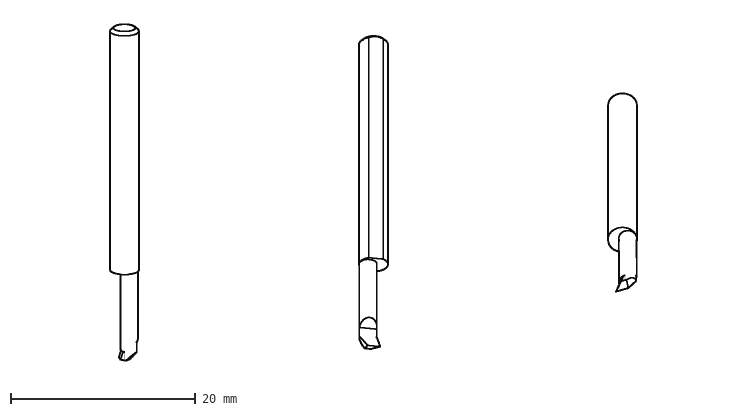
import cadquery as cq

total_length = 38.1
shank_radius = 1.58
shank_flat_y = 1.353
shank_bottom_z = 10.2
end_chamfer = 0.4

neck_radius = 0.97
neck_x = shank_radius - neck_radius

cut_face_y = 0.05
runout_start_z = 2.15
runout_end_z = 2.97

head_top_z = 1.15
edge_bottom_x = -0.75
edge_top_x = neck_x - neck_radius
side_relief = 0.8
bottom_relief = 0.15
nose_x = 0.65
nose_rise = 1.03

margin = 0.4


def make_shank():
    """Round bar with one chamfered end and a flat along its +Y side."""
    length = total_length - shank_bottom_z
    bar = cq.Workplane("XY").workplane(offset=shank_bottom_z).circle(shank_radius).extrude(length)
    bar = bar.faces(">Z").chamfer(end_chamfer)
    flat_cut = (
        cq.Workplane("XY")
        .box(2 * shank_radius, shank_radius, total_length, centered=(True, False, False))
        .translate((0, shank_flat_y, 0))
    )
    return bar.cut(flat_cut)


def make_neck():
    """Eccentric round neck reaching down to the tip."""
    return cq.Workplane("XY").center(neck_x, 0).circle(neck_radius).extrude(shank_bottom_z)


def make_head():
    """Hooked tip whose side face is relieved away from the cutting edge."""
    def section(shift):
        return [
            (edge_bottom_x + shift, 0),
            (neck_x + side_relief, 0),
            (neck_x + side_relief, head_top_z),
            (edge_top_x + shift, head_top_z),
        ]

    return (
        cq.Workplane("XZ", origin=(0, cut_face_y, 0))
        .polyline(section(0))
        .close()
        .workplane(offset=neck_radius + cut_face_y)
        .polyline(section(side_relief))
        .close()
        .loft(ruled=True)
    )


def make_head_space():
    """Lower -X half of the neck, cleared to make room for the head."""
    return (
        cq.Workplane("XY")
        .box(neck_radius + margin, 2 * (neck_radius + margin), head_top_z, centered=(False, True, False))
        .translate((neck_x - neck_radius - margin, 0, 0))
    )


def make_head_bounds():
    """Box on the -X side of the neck axis, used to trim the head."""
    width = neck_x - edge_bottom_x + margin
    return (
        cq.Workplane("XY")
        .box(width, 2 * (neck_radius + margin), head_top_z, centered=(False, True, False))
        .translate((neck_x - width, 0, 0))
    )


def make_half_cut():
    """Removes the +Y half of the neck up to the sloped run-out."""
    return (
        cq.Workplane("YZ")
        .polyline([
            (cut_face_y, -margin),
            (cut_face_y, runout_start_z),
            (neck_radius, runout_end_z),
            (neck_radius + margin, runout_end_z),
            (neck_radius + margin, -margin),
        ])
        .close()
        .extrude(2 * shank_radius, both=True)
    )


def make_bottom_cut():
    """Wedge below the bottom face, which rises away from the cutting edge."""
    return (
        cq.Workplane("YZ")
        .polyline([(cut_face_y, 0), (-neck_radius, bottom_relief), (-neck_radius, 0)])
        .close()
        .extrude(2 * shank_radius, both=True)
    )


def make_nose_cut():
    """Sloped corner below the +X side of the neck."""
    return (
        cq.Workplane("XZ")
        .polyline([(nose_x, 0), (shank_radius, nose_rise), (shank_radius, 0)])
        .close()
        .extrude(2 * neck_radius, both=True)
    )


neck = make_neck().cut(make_head_space())
head = make_head().intersect(make_head_bounds())
tool = neck.union(head)
tool = tool.cut(make_half_cut()).cut(make_bottom_cut()).cut(make_nose_cut())
result = make_shank().union(tool)